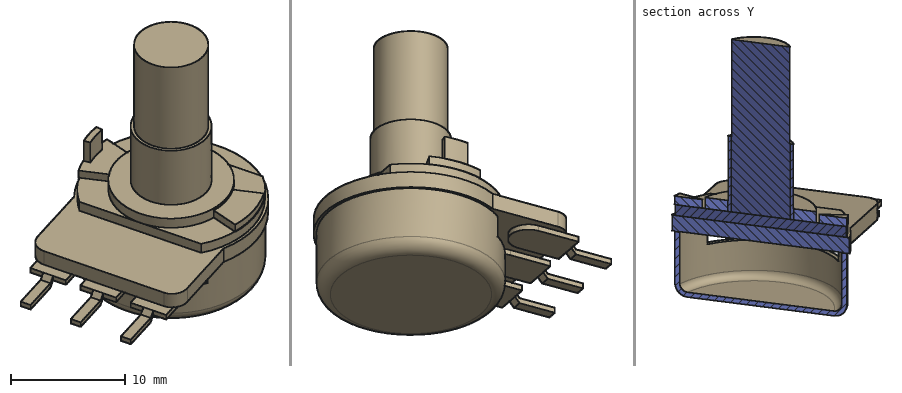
import cadquery as cq
import math


can_radius = 16.5 / 2
can_inner_radius = 15.5 / 2
can_wall = can_radius - can_inner_radius
can_height = 6.0
can_edge_radius = 1.2
window_floor = 4.0
window_half_angle = 52.0

board_radius = 8.5
board_thickness = 1.5
board_half_width = 7.5
board_front = -12.0
board_corner_radius = 1.5
board_top = can_height + board_thickness

plate_radius = 8.2
plate_thickness = 1.0
plate_top = board_top + plate_thickness

washer_radius = 11.0 / 2
washer_thickness = 1.02
ear_radius = 8.25
ear_thickness = 0.8
ear_half_angle = 18.0
lug_inner_radius = 7.57
lug_half_angle = 8.0
lug_height = 3.0

bushing_radius = 7.1 / 2
bushing_height = 7.0
shaft_radius = 6.5 / 2
overall_height = 24.5

terminal_count = 3
terminal_pitch = 5.02
terminal_thickness = 0.5
pad_width = 3.57
pad_back = -7.2
pad_front = -13.0
bend_front = -13.46
pin_front = board_radius - 25.5
pin_width = 1.0
pin_drop = 0.5


def cylinder(radius, bottom, top):
    return cq.Workplane("XY").workplane(offset=bottom).circle(radius).extrude(top - bottom)


def sector(inner_radius, outer_radius, middle_angle, half_angle, bottom, top):
    """Ring segment between two radial sides, with angles in degrees from +X."""

    def point(radius, offset):
        angle = math.radians(middle_angle + offset)
        return (radius * math.cos(angle), radius * math.sin(angle))

    return (
        cq.Workplane("XY")
        .workplane(offset=bottom)
        .moveTo(*point(inner_radius, -half_angle))
        .lineTo(*point(outer_radius, -half_angle))
        .threePointArc(point(outer_radius, 0), point(outer_radius, half_angle))
        .lineTo(*point(inner_radius, half_angle))
        .threePointArc(point(inner_radius, 0), point(inner_radius, -half_angle))
        .close()
        .extrude(top - bottom)
    )


def make_can():
    """Open-topped round can with a window in the wall behind the terminals."""
    outside = cylinder(can_radius, 0, can_height).faces("<Z").edges().fillet(can_edge_radius)
    cavity = cylinder(can_inner_radius, can_wall, can_height)
    cavity = cavity.faces("<Z").edges().fillet(can_edge_radius - can_wall)
    window = sector(
        can_inner_radius - can_wall,
        can_radius + can_wall,
        -90,
        window_half_angle,
        window_floor,
        can_height,
    )
    return outside.cut(cavity).cut(window)


def make_board():
    """Round board with a rectangular, corner-rounded extension that carries the terminals."""
    extension = (
        cq.Workplane("XY")
        .workplane(offset=can_height)
        .center(0, board_front / 2)
        .rect(2 * board_half_width, -board_front)
        .extrude(board_thickness)
        .edges("|Z and <Y")
        .fillet(board_corner_radius)
    )
    return cylinder(board_radius, can_height, board_top).union(extension)


def make_plate():
    """Disc with two flats in line with the washer rim."""
    disc = cylinder(plate_radius, board_top, plate_top)
    band = (
        cq.Workplane("XY")
        .workplane(offset=board_top)
        .rect(2 * plate_radius, 2 * washer_radius)
        .extrude(plate_thickness)
    )
    return disc.intersect(band)


def make_washer():
    """Washer with two opposite ears and an upright locating lug on the -X ear."""
    washer = cylinder(washer_radius, plate_top, plate_top + washer_thickness)
    for direction in (0, 180):
        ear = sector(
            bushing_radius,
            ear_radius,
            direction,
            ear_half_angle,
            plate_top,
            plate_top + ear_thickness,
        )
        washer = washer.union(ear)
    lug = sector(lug_inner_radius, plate_radius, 180, lug_half_angle, plate_top, plate_top + lug_height)
    bore = cylinder(bushing_radius, plate_top, plate_top + washer_thickness)
    return washer.union(lug).cut(bore)


def make_bushing():
    """Plain sleeve that stands on the plate inside the washer."""
    bushing_top = plate_top + bushing_height
    return cylinder(bushing_radius, plate_top, bushing_top).cut(
        cylinder(shaft_radius, plate_top, bushing_top)
    )


def make_shaft():
    return cylinder(shaft_radius, plate_top, overall_height)


def make_terminal(x):
    """Flat pad with a round back end under the board, stepping down to a narrow pin."""
    pad_radius = pad_width / 2
    pad_center = pad_back - pad_radius
    pad = (
        cq.Workplane("XY")
        .workplane(offset=can_height - terminal_thickness)
        .moveTo(-pad_radius, pad_front)
        .lineTo(pad_radius, pad_front)
        .lineTo(pad_radius, pad_center)
        .threePointArc((0, pad_back), (-pad_radius, pad_center))
        .close()
        .extrude(terminal_thickness)
    )
    pin_top = can_height - pin_drop
    pin = (
        cq.Workplane("YZ")
        .polyline(
            [
                (pad_front, can_height),
                (bend_front, pin_top),
                (pin_front, pin_top),
                (pin_front, pin_top - terminal_thickness),
                (bend_front, pin_top - terminal_thickness),
                (pad_front, can_height - terminal_thickness),
            ]
        )
        .close()
        .extrude(pin_width / 2, both=True)
    )
    return pad.union(pin).translate((x, 0, 0))


can = make_can()
board = make_board()
plate = make_plate()
washer = make_washer()
bushing = make_bushing()
shaft = make_shaft()
terminals = []
for index in range(terminal_count):
    terminal_x = (index - (terminal_count - 1) / 2) * terminal_pitch
    terminals.append(make_terminal(terminal_x).val())

result = cq.Compound.makeCompound(
    [
        can.val(),
        board.val(),
        plate.val(),
        washer.val(),
        bushing.val(),
        shaft.val(),
        *terminals,
    ]
)